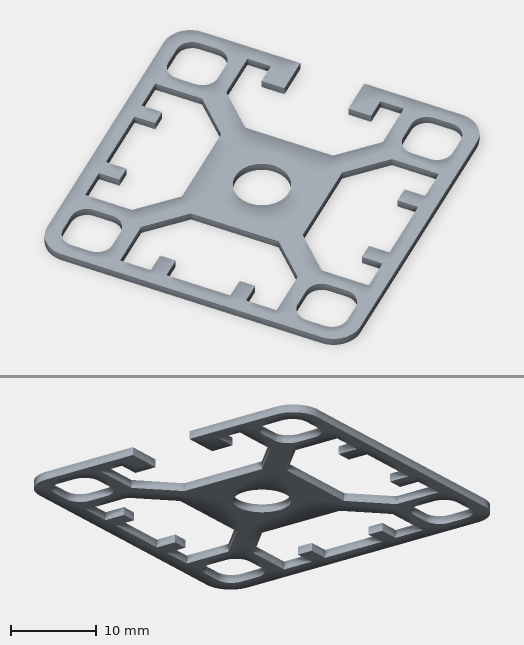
import cadquery as cq

SIZE = 40.0
THICKNESS = 1.0
CORNER_RADIUS = 3.4
HALF = SIZE / 2

BORE_DIAMETER = 6.8

CORNER_POCKET_SIZE = 6.3
CORNER_POCKET_RADIUS = 2.0
CORNER_POCKET_CENTER = 15.0

WALL = 1.9
CAVITY_OUTER = HALF - WALL
CAVITY_INNER = 7.7
CAVITY_HALF_WIDTH = 10.0
CAVITY_CHAMFER = 4.4

SLOT_HALF_WIDTH = 4.1
LIP_TIP = 15.5
CLOSED_LIP_WIDTH = 2.0
OPEN_LIP_WIDTH = 2.9

OPEN_SIDE_ANGLE = 0
CLOSED_SIDE_ANGLES = (90, 180, 270)


def box(x_min, x_max, y_min, y_max):
    """Full-thickness block between the given X and Y limits."""
    return (
        cq.Workplane("XY")
        .center((x_min + x_max) / 2, (y_min + y_max) / 2)
        .rect(x_max - x_min, y_max - y_min)
        .extrude(THICKNESS)
    )


def side_cavity(lip_width):
    """Cavity on the +Y side, with chamfered inner corners and two lips left standing."""
    cavity = (
        cq.Workplane("XY")
        .moveTo(-CAVITY_HALF_WIDTH, CAVITY_OUTER)
        .lineTo(CAVITY_HALF_WIDTH, CAVITY_OUTER)
        .lineTo(CAVITY_HALF_WIDTH, CAVITY_INNER + CAVITY_CHAMFER)
        .lineTo(CAVITY_HALF_WIDTH - CAVITY_CHAMFER, CAVITY_INNER)
        .lineTo(CAVITY_CHAMFER - CAVITY_HALF_WIDTH, CAVITY_INNER)
        .lineTo(-CAVITY_HALF_WIDTH, CAVITY_INNER + CAVITY_CHAMFER)
        .close()
        .extrude(THICKNESS)
    )
    lip_outer = SLOT_HALF_WIDTH + lip_width
    right_lip = box(SLOT_HALF_WIDTH, lip_outer, LIP_TIP, HALF)
    left_lip = box(-lip_outer, -SLOT_HALF_WIDTH, LIP_TIP, HALF)
    return cavity.cut(right_lip).cut(left_lip)


def turned(shape, angle):
    """Turn a shape about the plate's vertical axis."""
    return shape.rotate((0, 0, 0), (0, 0, 1), angle)


plate = (
    cq.Workplane("XY")
    .rect(SIZE, SIZE)
    .extrude(THICKNESS)
    .edges("|Z")
    .fillet(CORNER_RADIUS)
)
bore = cq.Workplane("XY").circle(BORE_DIAMETER / 2).extrude(THICKNESS)
plate = plate.cut(bore)

corner_pockets = (
    cq.Workplane("XY")
    .rect(2 * CORNER_POCKET_CENTER, 2 * CORNER_POCKET_CENTER, forConstruction=True)
    .vertices()
    .rect(CORNER_POCKET_SIZE, CORNER_POCKET_SIZE)
    .extrude(THICKNESS)
    .edges("|Z")
    .fillet(CORNER_POCKET_RADIUS)
)
plate = plate.cut(corner_pockets)

for angle in CLOSED_SIDE_ANGLES:
    plate = plate.cut(turned(side_cavity(CLOSED_LIP_WIDTH), angle))

slot_opening = box(-SLOT_HALF_WIDTH, SLOT_HALF_WIDTH, LIP_TIP, HALF)
open_cavity = side_cavity(OPEN_LIP_WIDTH).union(slot_opening)
result = plate.cut(turned(open_cavity, OPEN_SIDE_ANGLE))